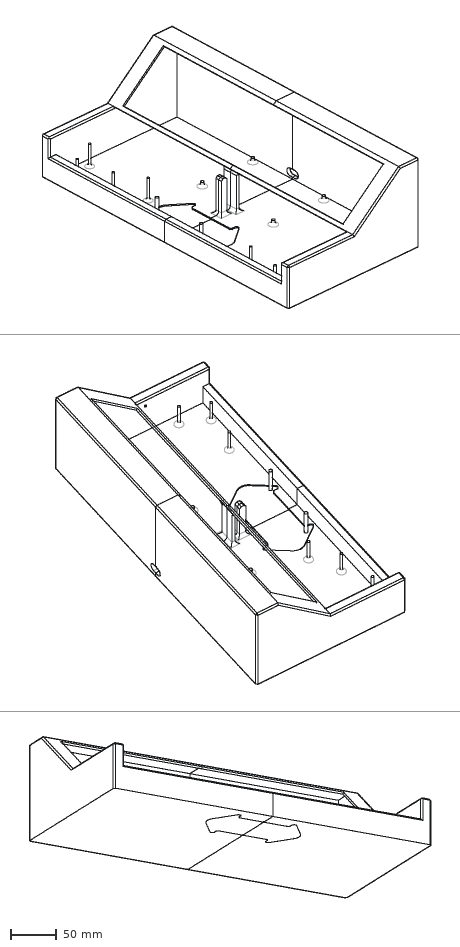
import cadquery as cq
import math

length = 400.0
depth = 200.0
height = 114.0
deck_height = 54.4
slope_front = 100.0
slope_back = 170.0
side_wall = 13.0
front_wall = 10.3
front_wall_height = 29.2
back_wall = 5.0
floor = 3.0
panel = 2.5
edge_break = 2.0

half_length = length / 2
inner_half = half_length - side_wall
slope_rise = height - deck_height
slope_run = slope_back - slope_front
slope_length = math.hypot(slope_rise, slope_run)
slope_sin = slope_rise / slope_length
slope_cos = slope_run / slope_length

window_half_width = 178.0
window_margin = 5.5

rib_width = 19.5
rib_depth = 4.5
rib_y = slope_front + rib_depth / 2
rib_foot = 4.0
rib_head_flare = 2.5
rib_head_z = 50.0
post_width = 9.0
post_depth = 8.5
post_y = 86.5
post_top = 50.0
post_bevel = 2.5
post_foot = 4.0

support_foot = 4.0
tall_support_diameter = 3.0
tall_support_top = 32.0
tall_supports = [
    (-175.0, 50.5), (-160.0, 17.5), (-111.5, 26.5), (-76.0, 46.5),
    (111.5, 26.0), (160.0, 17.5), (175.0, 50.5),
]
stub_diameter = 4.0
stub_top = 9.0
stub_x = 57.5
stub_rows = (111.5, 188.5)
stubs = [(side * stub_x, y) for side in (-1, 1) for y in stub_rows]

plate_y = 46.0
waist_half_depth = 24.5
waist_half_width = 32.3
tip_half_depth = 38.9
point_half_width = 61.3
waist_radius = 2.3
tip_radius = 2.75
point_radius = 14.0
plate_recess = 1.5
plate_thickness = floor - plate_recess
plate_support_diameter = 4.0
left_plate_support = (-38.5, 24.5)
right_plate_support = (37.0, 21.0)

cable_slot_length = 18.0
cable_slot_height = 10.0
cable_slot_z = 10.5
side_hole_diameter = 3.0
side_hole_depth = 3.0
side_hole_y = 87.0
side_hole_z = 43.5

overlap = 1.0


def outer_block():
    """Full outside shape, chamfered on every edge of its four upright sides but the bottom ones."""
    block = (
        cq.Workplane("YZ")
        .moveTo(0, 0)
        .lineTo(depth, 0)
        .lineTo(depth, height)
        .lineTo(slope_back, height)
        .lineTo(slope_front, deck_height)
        .lineTo(0, deck_height)
        .close()
        .extrude(half_length, both=True)
    )
    side_edges = block.faces("<X or >X or <Y or >Y").edges().vals()
    upper_edges = [edge for edge in side_edges if edge.BoundingBox().zmax > overlap]
    return block.newObject(upper_edges).chamfer(edge_break)


def deck_opening():
    """Open passage over the deck and front wall, flared along the side walls and at the front."""
    rim_half = inner_half + edge_break
    flare_z = deck_height - edge_break
    passage = (
        cq.Workplane("XZ")
        .moveTo(-inner_half, front_wall_height)
        .lineTo(inner_half, front_wall_height)
        .lineTo(inner_half, flare_z)
        .lineTo(rim_half, deck_height)
        .lineTo(rim_half, height)
        .lineTo(-rim_half, height)
        .lineTo(-rim_half, deck_height)
        .lineTo(-inner_half, flare_z)
        .close()
        .extrude(-slope_front)
    )
    mouth_drop = height - front_wall_height + edge_break
    mouth = (
        cq.Workplane("XZ", origin=(0, 0, height))
        .rect(2 * rim_half, 2 * mouth_drop)
        .extrude(-edge_break, taper=45)
    )
    return passage.union(mouth)


def cavity():
    """Room inside the walls; the sloped face ends in a lip square to the slope."""
    ceiling = height - panel
    lip_y = slope_front + panel * slope_sin
    lip_z = deck_height - panel * slope_cos
    bend_y = lip_y + (ceiling - lip_z) * slope_run / slope_rise
    return (
        cq.Workplane("YZ")
        .moveTo(front_wall, floor)
        .lineTo(depth - back_wall, floor)
        .lineTo(depth - back_wall, ceiling)
        .lineTo(bend_y, ceiling)
        .lineTo(lip_y, lip_z)
        .lineTo(slope_front, deck_height)
        .lineTo(front_wall, deck_height)
        .close()
        .extrude(inner_half, both=True)
    )


def window():
    """Rectangular opening cut square through the sloped face."""
    slope_face = cq.Plane(
        origin=(0, slope_front, deck_height),
        xDir=(1, 0, 0),
        normal=(0, -slope_sin, slope_cos),
    )
    return (
        cq.Workplane(slope_face)
        .center(0, slope_length / 2)
        .rect(2 * window_half_width, slope_length - 2 * window_margin)
        .extrude(-(panel + overlap))
    )


def flared_column(width, column_depth, y, top, foot_radius):
    """Rectangular column whose base is filleted into the floor."""
    pad = (
        cq.Workplane("XY", origin=(0, y, 0))
        .rect(width + 2 * foot_radius + overlap, column_depth + 2 * foot_radius + overlap)
        .extrude(floor)
    )
    column = (
        cq.Workplane("XY", origin=(0, y, 0))
        .rect(width, column_depth)
        .extrude(top)
    )
    joint = cq.selectors.BoxSelector(
        (-(width + overlap) / 2, y - (column_depth + overlap) / 2, floor - overlap),
        ((width + overlap) / 2, y + (column_depth + overlap) / 2, floor + overlap),
    )
    return pad.union(column).edges(joint).fillet(foot_radius)


def rib():
    """Rib from the floor to the sloped face, widening at its head and leaning back to the lip."""
    column = flared_column(rib_width, rib_depth, rib_y, rib_head_z, rib_foot)
    half = rib_width / 2
    head_half = half + rib_head_flare
    flare_z = rib_head_z + rib_head_flare
    rib_front = rib_y - rib_depth / 2
    rib_back = rib_y + rib_depth / 2
    lip_y = slope_front + panel * slope_sin
    lip_z = deck_height - panel * slope_cos
    back_z = lip_z + (rib_back - lip_y) * slope_rise / slope_run
    head_front = (
        cq.Workplane("XZ", origin=(0, rib_front, 0))
        .moveTo(-half, rib_head_z)
        .lineTo(half, rib_head_z)
        .lineTo(head_half, flare_z)
        .lineTo(head_half, back_z)
        .lineTo(-head_half, back_z)
        .lineTo(-head_half, flare_z)
        .close()
        .extrude(-rib_depth)
    )
    head_side = (
        cq.Workplane("YZ")
        .moveTo(rib_front, rib_head_z)
        .lineTo(rib_back, rib_head_z)
        .lineTo(rib_back, back_z)
        .lineTo(lip_y, lip_z)
        .close()
        .extrude(head_half, both=True)
    )
    return column.union(head_front.intersect(head_side))


def post():
    column = flared_column(post_width, post_depth, post_y, post_top, post_foot)
    return column.edges("|X and >Z").chamfer(post_bevel)


def round_support(x, y, diameter, top):
    """Round support with a concave flare where it meets the floor."""
    radius = diameter / 2
    foot = radius + support_foot
    return (
        cq.Workplane("XZ")
        .moveTo(0, 0)
        .lineTo(foot, 0)
        .lineTo(foot, floor)
        .radiusArc((radius, floor + support_foot), support_foot)
        .lineTo(radius, top)
        .lineTo(0, top)
        .close()
        .revolve(360, (0, 0, 0), (0, 1, 0))
        .translate((x, y, 0))
    )


def plate_blank(thickness):
    """Six-pointed plate outline with rounded corners, extruded from the underside of the floor."""
    right_side = [
        (waist_half_width, waist_half_depth),
        (waist_half_width, tip_half_depth),
        (point_half_width, 0),
        (waist_half_width, -tip_half_depth),
        (waist_half_width, -waist_half_depth),
    ]
    left_side = [(-x, -y) for x, y in right_side]
    blank = cq.Workplane("XY").polyline(right_side + left_side).close().extrude(thickness)
    corner_radii = [
        (waist_half_width, waist_half_depth, waist_radius),
        (waist_half_width, tip_half_depth, tip_radius),
        (point_half_width, 0, point_radius),
    ]
    for corner_x, corner_y, radius in corner_radii:
        corner_edges = [
            edge
            for edge in blank.edges("|Z").vals()
            if math.dist((abs(edge.Center().x), abs(edge.Center().y)), (corner_x, corner_y)) < overlap
        ]
        blank = blank.newObject(corner_edges).fillet(radius)
    return blank.translate((0, plate_y, 0))


def cable_slot():
    return (
        cq.Workplane("XZ", origin=(0, depth - back_wall - overlap, cable_slot_z))
        .slot2D(cable_slot_length, cable_slot_height)
        .extrude(-(back_wall + 2 * overlap))
    )


def side_hole():
    """Small blind hole in the inner face of the right side wall."""
    return (
        cq.Workplane("YZ", origin=(inner_half, side_hole_y, side_hole_z))
        .circle(side_hole_diameter / 2)
        .extrude(side_hole_depth)
    )


def half_space(side):
    """Block covering everything on one side of the joint at X = 0."""
    return cq.Workplane("XY").box(length, 2 * depth, 2 * height).translate((side * half_length, depth / 2, height / 2))


def full_case():
    case = outer_block().cut(deck_opening()).cut(cavity()).cut(window())
    case = case.union(rib()).union(post())
    for x, y in tall_supports:
        case = case.union(round_support(x, y, tall_support_diameter, tall_support_top))
    for x, y in stubs:
        case = case.union(round_support(x, y, stub_diameter, stub_top))
    case = case.cut(plate_blank(floor)).cut(cable_slot()).cut(side_hole())
    return case


def half_plate(side, support):
    x, y = support
    plate = plate_blank(plate_thickness).intersect(half_space(side))
    pillar = cq.Workplane("XY", origin=(x, y, 0)).circle(plate_support_diameter / 2).extrude(tall_support_top)
    return plate.union(pillar)


whole_case = full_case()
left_case = whole_case.intersect(half_space(-1))
right_case = whole_case.intersect(half_space(1))
left_plate = half_plate(-1, left_plate_support)
right_plate = half_plate(1, right_plate_support)

result = cq.Compound.makeCompound([left_case.val(), right_case.val(), left_plate.val(), right_plate.val()])